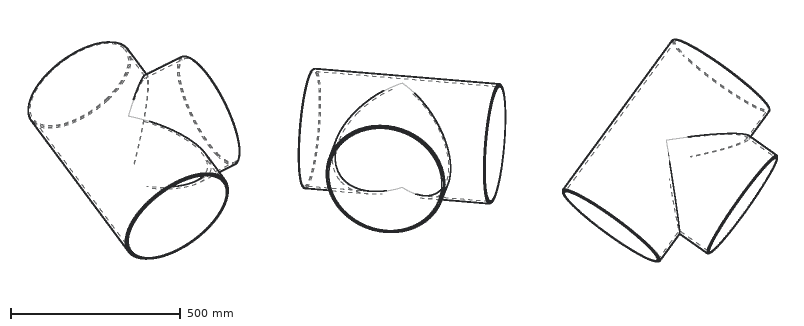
import cadquery as cq

run_length = 559.0
outer_diameter = 355.5
wall = 8.0
branch_reach = run_length / 2
bevel = 3.0

outer_radius = outer_diameter / 2
inner_radius = outer_radius - wall
bevel_radius = outer_radius - bevel


def run_body():
    """Solid run, bevelled at both ends, revolved about the X axis."""
    half = run_length / 2
    return (
        cq.Workplane("XY")
        .moveTo(-half, 0)
        .lineTo(-half, bevel_radius)
        .lineTo(-half + bevel, outer_radius)
        .lineTo(half - bevel, outer_radius)
        .lineTo(half, bevel_radius)
        .lineTo(half, 0)
        .close()
        .revolve(360, (0, 0, 0), (1, 0, 0))
    )


def branch_body():
    """Solid branch, bevelled at its open end, revolved about the Y axis."""
    return (
        cq.Workplane("XY")
        .lineTo(outer_radius, 0)
        .lineTo(outer_radius, branch_reach - bevel)
        .lineTo(bevel_radius, branch_reach)
        .lineTo(0, branch_reach)
        .close()
        .revolve(360, (0, 0, 0), (0, 1, 0))
    )


run_bore = cq.Workplane("YZ").circle(inner_radius).extrude(run_length / 2, both=True)
branch_bore = cq.Workplane("XZ").circle(inner_radius).extrude(-branch_reach)

result = run_body().union(branch_body()).cut(run_bore).cut(branch_bore)